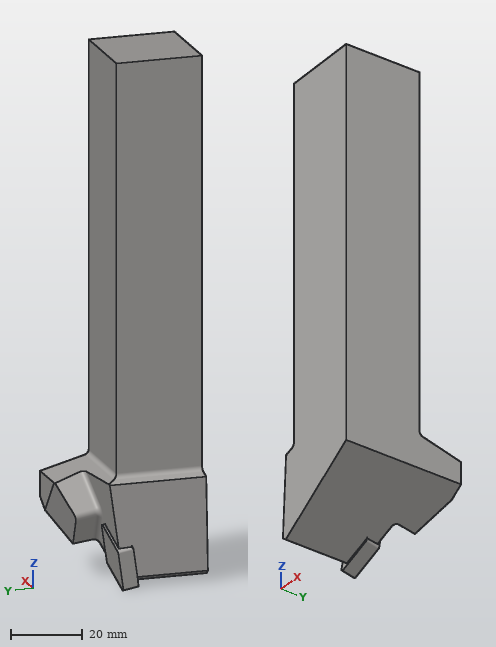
import cadquery as cq
import math


tool_length = 152.4
shank_side = 25.3
shank_overlap = 1.5
head_depth = 39.6
shoulder_z = 31.4
shoulder_angle = 15.0
shoulder_fillet = 1.5
head_left_x = -29.1
nose_left_x = -30.6
nose_upper_z = 3.4
nose_flat_x = -29.3
end_face_z = 20.1
end_face_angle = 31.5

chip_face_y = 27.9
chip_slope_x = 0.105
chip_slope_z = 0.12

boss_corner = (-20.1, 20.1)
boss_upper = (-10.8, 30.3)
boss_lower = (-15.1, 10.8)
boss_corner_radius = 1.9
boss_foot_fillet = 1.5
boss_cap_point = (-13.3, 39.6, 28.2)
boss_cap_normal = (-0.25, 0.95, -0.2)

insert_side = 11.7
insert_thickness = 4.7
insert_proud = 0.8
insert_corner_radius = 0.6
insert_tip = (-31.9, -0.5)
lower_edge_angle = 32.0
left_edge_angle = 87.0

oversize = 91.5

shoulder_slope = math.tan(math.radians(shoulder_angle))
chip_plane = cq.Plane(
    origin=(0, chip_face_y, 0),
    xDir=(1, chip_slope_x, 0),
    normal=(-chip_slope_x, 1, -chip_slope_z),
)


def on_chip_face(x, z):
    """Chip-plane coordinates of the chip face point at the given X and Z."""
    y = chip_face_y + chip_slope_x * x + chip_slope_z * z
    local = chip_plane.toLocalCoords(cq.Vector(x, y, z))
    return (local.x, local.y)


def extended(start, end):
    """Point far beyond end on the line from start."""
    run = math.dist(start, end)
    return tuple(a + (b - a) * oversize / run for a, b in zip(start, end))


def make_head_blank():
    """Head outline in XZ, topped by the shoulders falling to -X and +Y."""
    end_slope = math.tan(math.radians(end_face_angle))
    left_drop = (-shank_side - head_left_x) * shoulder_slope
    back_drop = (head_depth - shank_side) * shoulder_slope
    outline = [
        (0, shoulder_z),
        (-shank_side, shoulder_z),
        (head_left_x, shoulder_z - left_drop),
        (nose_left_x, nose_upper_z),
        (nose_flat_x, end_face_z + nose_flat_x * end_slope),
        (0, end_face_z),
    ]
    side_outline = [
        (0, 0),
        (0, shoulder_z),
        (shank_side, shoulder_z),
        (head_depth, shoulder_z - back_drop),
        (head_depth, 0),
    ]
    head = cq.Workplane("XZ").polyline(outline).close().extrude(-head_depth)
    side = cq.Workplane("YZ").polyline(side_outline).close().extrude(-oversize)
    return head.intersect(side)


def make_shank():
    base_z = shoulder_z - shank_overlap
    return (
        cq.Workplane("XY", origin=(0, 0, base_z))
        .rect(-shank_side, shank_side, centered=False)
        .extrude(tool_length - base_z)
    )


def fillet_shank_root(body):
    """Round the two inner edges between the shank and the shoulders."""
    margin = 0.2
    root = cq.selectors.BoxSelector(
        (-shank_side - margin, -margin, shoulder_z - margin),
        (margin, shank_side + margin, shoulder_z + margin),
    )
    return body.edges(root).fillet(shoulder_fillet)


def make_chip_space():
    """Space above the chip face, bounded by the two walls of the boss."""
    upper_end = extended(boss_corner, boss_upper)
    lower_end = extended(boss_corner, boss_lower)
    outline = [
        boss_corner,
        upper_end,
        (-oversize, upper_end[1]),
        (-oversize, lower_end[1]),
        lower_end,
    ]
    space = (
        cq.Workplane(chip_plane)
        .polyline([on_chip_face(*point) for point in outline])
        .close()
        .extrude(oversize)
    )
    corner = chip_plane.toWorldCoords(on_chip_face(*boss_corner))
    corner_edge_middle = corner + chip_plane.zDir * (oversize / 2)
    at_corner = cq.selectors.NearestToPointSelector(corner_edge_middle.toTuple())
    space = space.edges(at_corner).fillet(boss_corner_radius)
    wall_end = chip_plane.toWorldCoords(on_chip_face(*upper_end))
    foot = cq.selectors.NearestToPointSelector(((corner + wall_end) / 2).toTuple())
    return space.edges(foot).fillet(boss_foot_fillet)


def make_boss_cap_space():
    """Space beyond the slanted cap of the boss."""
    cap_plane = cq.Plane(origin=boss_cap_point, normal=boss_cap_normal)
    return cq.Workplane(cap_plane).rect(oversize, oversize).extrude(oversize)


def along_edge(start, angle):
    """X, Z place one insert side away from start."""
    turn = math.radians(angle)
    return (start[0] + insert_side * math.cos(turn), start[1] + insert_side * math.sin(turn))


def make_insert():
    """Rhombic prism standing square to the chip face."""
    lower_corner = along_edge(insert_tip, lower_edge_angle)
    left_corner = along_edge(insert_tip, left_edge_angle)
    far_corner = along_edge(lower_corner, left_edge_angle)
    corners = [insert_tip, lower_corner, far_corner, left_corner]
    return (
        cq.Workplane(chip_plane)
        .workplane(offset=insert_proud - insert_thickness)
        .polyline([on_chip_face(*corner) for corner in corners])
        .close()
        .extrude(insert_thickness)
        .edges(cq.selectors.ParallelDirSelector(chip_plane.zDir))
        .fillet(insert_corner_radius)
    )


def make_holder(insert):
    body = fillet_shank_root(make_head_blank().union(make_shank()))
    body = body.cut(make_chip_space())
    body = body.cut(make_boss_cap_space())
    return body.cut(insert)


insert = make_insert()
holder = make_holder(insert)
result = cq.Compound.makeCompound([holder.val(), insert.val()])